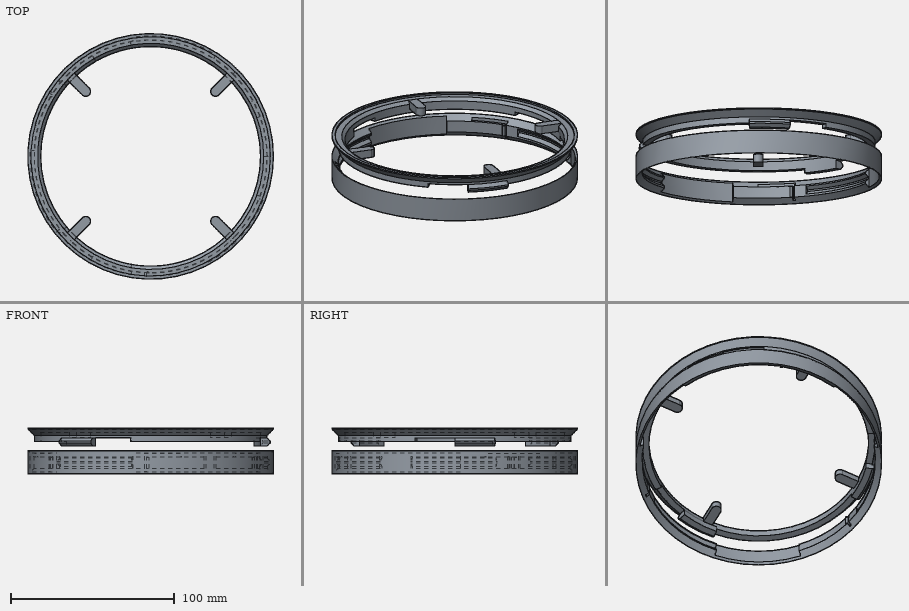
import cadquery as cq
total_height = 28.21
outer_radius = 75.0

rim_height = 0.8
rim_inner_radius = 73.0
floor_depth = 1.0
mouth_radius = 69.0
collar_outer_radius = 71.0
collar_inner_radius = 67.0
collar_height = 1.4
skirt_depth = 2.3
lug_height = 5.0
lug_tip_height = 1.0
lug_tip_radius = 73.0

post_width = 6.0
post_height = 5.0
post_tip_radius = 53.0
post_embed = 0.6
post_drop = 0.05
post_angles = (45, 135, 225, 315)

lug_starts = (0, 120, 220)
lug_span = 20
skirt_gap_starts = (100, 220, 340)
skirt_gap_span = 40

base_height = 14.3
clearance = 0.2
window_clearance = 0.6
flare_height = 3.4
detent_radius = 0.8
detent_drop = 0.45

station_angles = (0, 120, 240)
groove_end = 20.7
groove_span = 42
window_span = 41.5
slit_start = 27
recess_start = 28
recess_end = 45
detent_angle = 28.6

rim_bottom = total_height - rim_height
floor_level = total_height - floor_depth
flange_bottom = rim_bottom - (outer_radius - collar_outer_radius)
collar_bottom = flange_bottom - collar_height
skirt_bottom = collar_bottom - skirt_depth
mouth_bottom = floor_level - (mouth_radius - collar_inner_radius)
bore_radius = collar_outer_radius + clearance
groove_radius = lug_tip_radius + clearance
window_radius = lug_tip_radius + window_clearance
seat_bottom = base_height - (outer_radius - bore_radius)
groove_top = (base_height + lug_height) / 2


def ring_sector(profile, start=0, span=360):
    """Revolve (radius, z) points about Z, from angle start through span degrees."""
    sector = cq.Workplane("XZ").polyline(profile).close().revolve(span, (0, 0, 0), (0, 1, 0))
    return sector.rotate((0, 0, 0), (0, 0, 1), start)


def rectangle(inner, outer, bottom, top):
    """Rectangular (radius, z) profile."""
    return [(inner, bottom), (outer, bottom), (outer, top), (inner, top)]


def bayonet_profile(inner, flat, tip, top):
    """Profile of a lug or its groove: straight inside, with a blunt 45 degree point outside."""
    slope = (lug_height - lug_tip_height) / 2
    bottom = top - lug_height
    return [
        (inner, bottom),
        (flat, bottom),
        (tip, bottom + slope),
        (tip, top - slope),
        (flat, top),
        (inner, top),
    ]


def make_post(angle):
    """Radial post with a round tip, rooted in the collar wall."""
    tip_centre = post_tip_radius + post_width / 2
    root = mouth_radius + post_embed
    bar = cq.Workplane("XY").box(root - tip_centre, post_width, post_height, centered=(False, True, False))
    bar = bar.translate((tip_centre, 0, 0))
    tip = cq.Workplane("XY").center(tip_centre, 0).circle(post_width / 2).extrude(post_height)
    post = bar.union(tip).translate((0, 0, floor_level - post_drop - post_height))
    return post.rotate((0, 0, 0), (0, 0, 1), angle)


def make_locking_ring():
    ring = ring_sector([
        (collar_inner_radius, skirt_bottom),
        (collar_outer_radius, skirt_bottom),
        (collar_outer_radius, flange_bottom),
        (outer_radius, rim_bottom),
        (outer_radius, total_height),
        (rim_inner_radius, total_height),
        (rim_inner_radius, floor_level),
        (mouth_radius, floor_level),
        (collar_inner_radius, mouth_bottom),
    ])
    gap = rectangle(post_tip_radius, outer_radius, skirt_bottom, collar_bottom)
    for start in skirt_gap_starts:
        ring = ring.cut(ring_sector(gap, start, skirt_gap_span))
    lug = bayonet_profile(collar_inner_radius, collar_outer_radius, lug_tip_radius, collar_bottom)
    for start in lug_starts:
        ring = ring.union(ring_sector(lug, start, lug_span))
    for angle in post_angles:
        ring = ring.union(make_post(angle))
    return ring


def make_detent(angle):
    """Vertical half-round bump on the bore of the base ring."""
    detent = cq.Workplane("XY").workplane(offset=flare_height).center(bore_radius, 0)
    detent = detent.circle(detent_radius).extrude(seat_bottom - detent_drop - flare_height)
    return detent.rotate((0, 0, 0), (0, 0, 1), angle)


def make_base_ring():
    ring = ring_sector([
        (outer_radius, 0),
        (outer_radius, base_height),
        (bore_radius, seat_bottom),
        (bore_radius, flare_height),
    ])
    cut_inner = collar_inner_radius
    groove = bayonet_profile(cut_inner, bore_radius, groove_radius, groove_top)
    window = rectangle(cut_inner, window_radius, 0, base_height)
    slit = rectangle(cut_inner, groove_radius, 0, base_height)
    recess = rectangle(cut_inner, groove_radius, seat_bottom, base_height)
    groove_start = groove_end - groove_span
    for station in station_angles:
        ring = ring.cut(ring_sector(groove, station + groove_start, groove_span))
        ring = ring.cut(ring_sector(window, station + groove_start - window_span, window_span))
        ring = ring.cut(ring_sector(slit, station + slit_start, recess_start - slit_start))
        ring = ring.cut(ring_sector(recess, station + recess_start, recess_end - recess_start))
        ring = ring.union(make_detent(station + detent_angle))
    return ring


locking_ring = make_locking_ring()
base_ring = make_base_ring()
result = cq.Compound.makeCompound([locking_ring.val(), base_ring.val()])